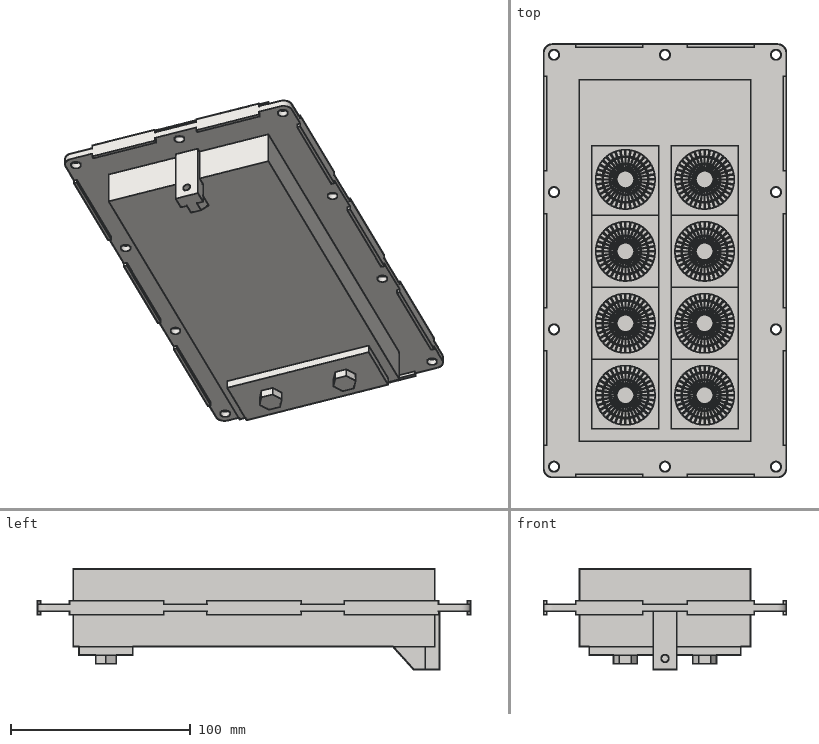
import cadquery as cq
import math

PLATE_WIDTH = 135.0
PLATE_LENGTH = 241.0
PLATE_THICKNESS = 4.0
PLATE_CORNER_RADIUS = 5.0

SCREW_HOLE_DIAMETER = 5.5
SCREW_HOLE_X = 61.7
SCREW_HOLE_END_Y = 114.5
SCREW_HOLE_SIDE_Y = SCREW_HOLE_END_Y / 3

TAB_THICKNESS = 1.8
TAB_OVERHANG = 2.0
TAB_HEIGHT = PLATE_THICKNESS + 2 * TAB_OVERHANG
SIDE_TAB_LENGTH = 52.5
SIDE_TAB_PITCH = 76.4
END_TAB_LENGTH = 37.4
END_TAB_X = 31.0

HOUSING_WIDTH = 95.2
HOUSING_LENGTH = 201.0
HOUSING_RISE = 19.6
HOUSING_TOP = PLATE_THICKNESS + HOUSING_RISE
HOUSING_BOTTOM = -HOUSING_RISE
OVERALL_HEIGHT = 56.0

FAN_COLUMN_X = 22.0
FAN_ROWS = 4
FAN_PITCH = 40.0
FAN_FIELD_Y = -14.8
FAN_PANEL_WIDTH = 37.2
FAN_PANEL_LENGTH = (FAN_ROWS - 1) * FAN_PITCH + FAN_PANEL_WIDTH
FAN_PANEL_DEPTH = 0.2
FAN_PANEL_FLOOR = HOUSING_TOP - FAN_PANEL_DEPTH
FAN_SEAM_WIDTH = 0.1
FAN_SEAM_DEPTH = 0.3

GRILLE_HUB_RADIUS = 4.8
GRILLE_OUTER_RADIUS = 16.5
GRILLE_RING_WIDTH = 0.6
GRILLE_BANDS = 3
GRILLE_SLOTS_PER_BAND = 36
GRILLE_SLOT_FRACTION = 0.8
GRILLE_DEPTH = 0.3

CONNECTOR_WIDTH = 84.4
CONNECTOR_LENGTH = 30.0
CONNECTOR_HEIGHT = 4.8
CONNECTOR_Y = 82.3
GLAND_SIDES = 6
GLAND_ACROSS_FLATS = 11.5
GLAND_HEIGHT = 4.8
GLAND_X = 22.0

BRACKET_WIDTH = 13.2
BRACKET_DEPTH = 8.0
BRACKET_FRONT_Y = -103.2
BRACKET_BACK_Y = BRACKET_FRONT_Y + BRACKET_DEPTH
BRACKET_BOTTOM = HOUSING_TOP - OVERALL_HEIGHT
BRACKET_HOLE_DIAMETER = 4.13
BRACKET_HOLE_RISE = 6.2
BRACKET_HOLE_Z = BRACKET_BOTTOM + BRACKET_HOLE_RISE
GUSSET_WIDTH = 6.0
GUSSET_TOP_LENGTH = 18.0
GUSSET_BOTTOM_LENGTH = 6.4


def block(width, length, bottom, top, x=0.0, y=0.0):
    """Upright box centred on (x, y) between two heights."""
    return (
        cq.Workplane("XY", origin=(x, y, bottom))
        .rect(width, length)
        .extrude(top - bottom)
    )


def plate():
    screw_points = [(0, -SCREW_HOLE_END_Y), (0, SCREW_HOLE_END_Y)]
    for x in (-SCREW_HOLE_X, SCREW_HOLE_X):
        for y in (SCREW_HOLE_SIDE_Y, SCREW_HOLE_END_Y):
            screw_points += [(x, -y), (x, y)]
    return (
        block(PLATE_WIDTH, PLATE_LENGTH, 0, PLATE_THICKNESS)
        .edges("|Z")
        .fillet(PLATE_CORNER_RADIUS)
        .faces(">Z")
        .workplane()
        .pushPoints(screw_points)
        .hole(SCREW_HOLE_DIAMETER)
    )


def rim_tabs():
    side_x = (PLATE_WIDTH - TAB_THICKNESS) / 2
    end_y = (PLATE_LENGTH - TAB_THICKNESS) / 2
    side_points = [(s * side_x, row * SIDE_TAB_PITCH) for s in (-1, 1) for row in (-1, 0, 1)]
    end_points = [(sx * END_TAB_X, sy * end_y) for sx in (-1, 1) for sy in (-1, 1)]
    base = cq.Workplane("XY", origin=(0, 0, -TAB_OVERHANG))
    side_tabs = base.pushPoints(side_points).rect(TAB_THICKNESS, SIDE_TAB_LENGTH).extrude(TAB_HEIGHT)
    end_tabs = base.pushPoints(end_points).rect(END_TAB_LENGTH, TAB_THICKNESS).extrude(TAB_HEIGHT)
    return side_tabs.union(end_tabs)


def polar_point(radius, angle):
    return (radius * math.cos(angle), radius * math.sin(angle))


def grille_slot(inner_radius, outer_radius, angle):
    """Cutter for one radial slot: a ring sector centred on the given angle."""
    half_span = GRILLE_SLOT_FRACTION * math.pi / GRILLE_SLOTS_PER_BAND
    start = angle - half_span
    end = angle + half_span
    return (
        cq.Workplane("XY")
        .moveTo(*polar_point(inner_radius, start))
        .lineTo(*polar_point(outer_radius, start))
        .threePointArc(polar_point(outer_radius, angle), polar_point(outer_radius, end))
        .lineTo(*polar_point(inner_radius, end))
        .threePointArc(polar_point(inner_radius, angle), polar_point(inner_radius, start))
        .close()
        .extrude(-GRILLE_DEPTH)
        .val()
    )


def grille_slots():
    """Cutters for one fan grille, centred on the origin with their tops at Z = 0."""
    band_pitch = (GRILLE_OUTER_RADIUS - GRILLE_HUB_RADIUS + GRILLE_RING_WIDTH) / GRILLE_BANDS
    slots = []
    for band in range(GRILLE_BANDS):
        inner_radius = GRILLE_HUB_RADIUS + band * band_pitch
        outer_radius = inner_radius + band_pitch - GRILLE_RING_WIDTH
        for number in range(GRILLE_SLOTS_PER_BAND):
            angle = math.pi * (2 * number + 1) / GRILLE_SLOTS_PER_BAND
            slots.append(grille_slot(inner_radius, outer_radius, angle))
    return cq.Compound.makeCompound(slots)


def fan_column(x, slots):
    """Cutters for one column of fans: the recess, the seams between fans and the grilles."""
    recess = block(FAN_PANEL_WIDTH, FAN_PANEL_LENGTH, FAN_PANEL_FLOOR, HOUSING_TOP, x, FAN_FIELD_Y)
    cutters = [recess.val()]
    seam_floor = FAN_PANEL_FLOOR - FAN_SEAM_DEPTH
    for row in range(FAN_ROWS):
        fan_y = FAN_FIELD_Y + (row - (FAN_ROWS - 1) / 2) * FAN_PITCH
        cutters.append(slots.translate(cq.Vector(x, fan_y, FAN_PANEL_FLOOR)))
        if row > 0:
            seam_y = fan_y - FAN_PITCH / 2
            seam = block(FAN_PANEL_WIDTH, FAN_SEAM_WIDTH, seam_floor, FAN_PANEL_FLOOR, x, seam_y)
            cutters.append(seam.val())
    return cutters


def housing():
    body = block(HOUSING_WIDTH, HOUSING_LENGTH, HOUSING_BOTTOM, HOUSING_TOP).val()
    slots = grille_slots()
    for x in (-FAN_COLUMN_X, FAN_COLUMN_X):
        body = body.cut(*fan_column(x, slots))
    return cq.Workplane(body)


def connector():
    base_bottom = HOUSING_BOTTOM - CONNECTOR_HEIGHT
    base = block(CONNECTOR_WIDTH, CONNECTOR_LENGTH, base_bottom, HOUSING_BOTTOM, y=CONNECTOR_Y)
    across_corners = GLAND_ACROSS_FLATS / math.cos(math.pi / GLAND_SIDES)
    glands = (
        cq.Workplane("XY", origin=(0, CONNECTOR_Y, base_bottom))
        .pushPoints([(-GLAND_X, 0), (GLAND_X, 0)])
        .polygon(GLAND_SIDES, across_corners)
        .extrude(-GLAND_HEIGHT)
    )
    return base.union(glands)


def bracket():
    post_y = (BRACKET_FRONT_Y + BRACKET_BACK_Y) / 2
    post = block(BRACKET_WIDTH, BRACKET_DEPTH, BRACKET_BOTTOM, 0, y=post_y)
    hole = (
        cq.Workplane("XZ", origin=(0, BRACKET_FRONT_Y, BRACKET_HOLE_Z))
        .circle(BRACKET_HOLE_DIAMETER / 2)
        .extrude(-BRACKET_DEPTH)
    )
    gusset = (
        cq.Workplane("YZ", origin=(0, BRACKET_BACK_Y, 0))
        .moveTo(0, BRACKET_BOTTOM)
        .lineTo(GUSSET_BOTTOM_LENGTH, BRACKET_BOTTOM)
        .lineTo(GUSSET_TOP_LENGTH, HOUSING_BOTTOM)
        .lineTo(0, HOUSING_BOTTOM)
        .close()
        .extrude(GUSSET_WIDTH / 2, both=True)
    )
    return post.cut(hole).union(gusset)


result = (
    plate()
    .union(rim_tabs())
    .union(housing())
    .union(connector())
    .union(bracket())
)